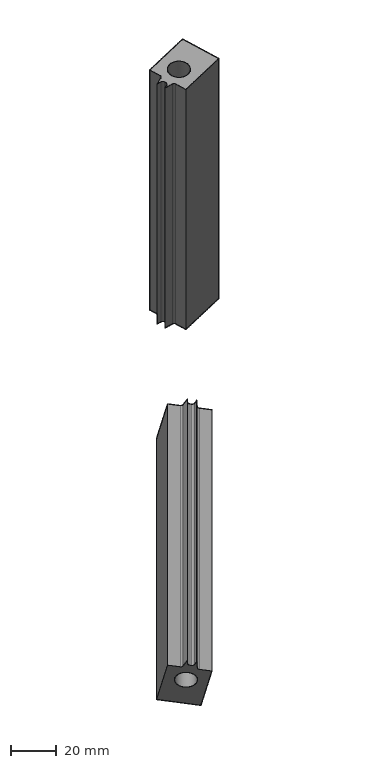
import cadquery as cq

length = 150.0
body_width = 20.0
body_depth = 24.0
fin_height = 5.0

hole_diameter = 10.0
hole_to_back = 15.9

fin_tip_spacing = 4.2
fin_root_width = 6.9
root_fillet = 1.0
groove_floor_width = 2.7
groove_depth = 3.0
groove_fillet = 1.4

front_y = -body_depth / 2
back_y = body_depth / 2
tip_y = front_y - fin_height
groove_floor_y = tip_y + groove_depth
fin_tip_offset = fin_tip_spacing / 2
fin_root_offset = fin_root_width / 2
groove_floor_offset = groove_floor_width / 2


def make_body():
    """Rectangular bar running along Z."""
    return cq.Workplane("XY").rect(body_width, body_depth).extrude(length)


def make_fins():
    """Tapered rib whose groove leaves two knife-edged fins."""
    overlap_y = front_y + root_fillet
    outline = [
        (-fin_root_offset, overlap_y),
        (-fin_root_offset, front_y),
        (-fin_tip_offset, tip_y),
        (-groove_floor_offset, groove_floor_y),
        (groove_floor_offset, groove_floor_y),
        (fin_tip_offset, tip_y),
        (fin_root_offset, front_y),
        (fin_root_offset, overlap_y),
    ]
    return cq.Workplane("XY").polyline(outline).close().extrude(length)


def edges_along_length(solid, x, y):
    """Pair of mirrored lengthwise edges at (+x, y) and (-x, y)."""
    margin = 0.02
    corner_box = cq.selectors.BoxSelector
    right = corner_box((x - margin, y - margin, 0), (x + margin, y + margin, length))
    left = corner_box((-x - margin, y - margin, 0), (-x + margin, y + margin, length))
    return solid.edges("|Z").edges(right + left)


bar = make_body().union(make_fins())
bar = edges_along_length(bar, fin_root_offset, front_y).fillet(root_fillet)
bar = edges_along_length(bar, groove_floor_offset, groove_floor_y).fillet(groove_fillet)

hole_y = back_y - hole_to_back
hole = cq.Workplane("XY").center(0, hole_y).circle(hole_diameter / 2).extrude(length)
result = bar.cut(hole)